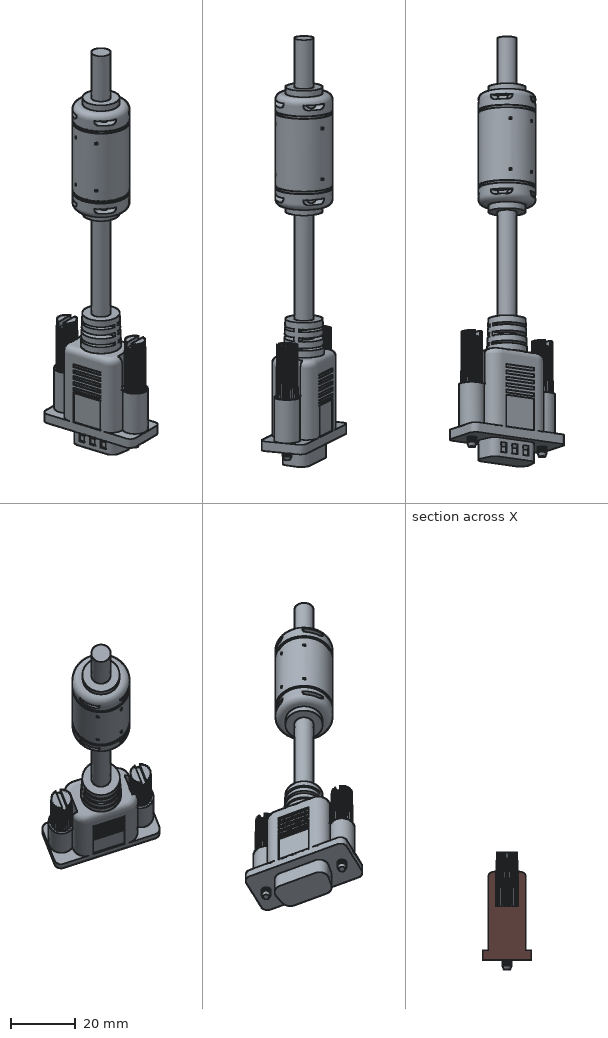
import cadquery as cq
import math

CABLE_DIA = 6.0
CABLE_TOP = 134.0

CHOKE_DIA = 17.8
CHOKE_LENGTH = 35.5
CHOKE_MID_Z = 98.8
CHOKE_EDGE_RADIUS = 2.1
COLLAR_DIA = 11.5
COLLAR_LENGTH = 2.0
CHOKE_GROOVE_DIA = 16.8
CHOKE_GROOVE_WIDTH = 0.8
CHOKE_GROOVE_OFFSET = 11.9
WINDOW_HEIGHT = 1.6
WINDOW_OFFSET = 15.0
WINDOW_SIDE = 3.4
WINDOW_FILLET = 1.5
WINDOW_CORE_DIA = 13.0
DOT_DIA = 0.7
DOT_DEPTH = 0.4
DOT_X = 3.9
DOT_OFFSET = 8.0

FLANGE_LENGTH = 34.5
HOOD_DEPTH = 15.0
FLANGE_BOTTOM = 6.0
FLANGE_TOP = 9.1
FLANGE_CORNER = 2.1
HOOD_WIDTH = 21.0
HOOD_TOP = 34.0
HOOD_CORNER = 3.9
HOOD_TOP_FILLET = 2.0
SCREW_X = 13.0
BOSS_DIA = 8.0
BOSS_TOP = 22.8

GRIP_WIDTH = 10.3
GRIP_DEPTH = 0.4
GRIP_PANEL_TOP = 19.2
GRIP_SLOT_COUNT = 5
GRIP_SLOT_HEIGHT = 1.0
GRIP_SLOT_PITCH = 2.0
GRIP_FIRST_SLOT_Z = 20.4

RELIEF_TOP = 45.0
RELIEF_TOP_DIA = 11.7
RELIEF_BOTTOM_DIA = 12.6
RELIEF_WEB = 1.7
RELIEF_SLOTS = [(36.2, 37.0), (39.0, 40.2), (42.1, 42.9)]

SHELL_HEIGHT = FLANGE_BOTTOM
SHELL_WIDTH = 18.0
SHELL_DEPTH = 9.1
SHELL_CORNER = 3.0
SHELL_SIDE_ANGLE = 10.0
DIMPLE_WIDTH = 2.0
DIMPLE_PITCH = 4.09
DIMPLE_BOTTOM = 1.6
DIMPLE_BEND = 3.5
DIMPLE_TOP = 4.7
DIMPLE_DEPTH = 0.7

SHAFT_DIA = 3.0
SHAFT_TIP_DIA = 2.0
SHAFT_BOTTOM = 3.1
SHAFT_TAPER = 1.2
THREAD_PITCH = 0.5
THREAD_DEPTH = 0.2
KNOB_TOP = 39.4
KNOB_TOP_DIA = 6.4
KNOB_BOTTOM_DIA = 6.8
KNURL_ROOT_DIA = 6.0
KNURL_COUNT = 24
DRIVER_SLOT_WIDTH = 1.6
DRIVER_SLOT_DEPTH = 1.9


def cylinder(diameter, bottom, top):
    return cq.Workplane("XY").workplane(offset=bottom).circle(diameter / 2).extrude(top - bottom)


def block(width, depth, bottom, top):
    return cq.Workplane("XY").workplane(offset=bottom).rect(width, depth).extrude(top - bottom)


def make_cable():
    return cylinder(CABLE_DIA, HOOD_TOP, CABLE_TOP)


def window_cutter(middle_z):
    """Four openings between the axes, closed inwards by a round core."""
    bottom = middle_z - WINDOW_HEIGHT / 2
    top = middle_z + WINDOW_HEIGHT / 2
    reach = CHOKE_DIA / 2
    corner_size = reach - WINDOW_SIDE
    corner_middle = WINDOW_SIDE + corner_size / 2
    corner = (
        block(corner_size, corner_size, bottom, top)
        .faces("<Z")
        .edges("<X or <Y")
        .fillet(WINDOW_FILLET)
        .translate((corner_middle, corner_middle, 0))
    )
    corners = corner
    for turn in range(1, 4):
        corners = corners.union(corner.rotate((0, 0, 0), (0, 0, 1), 90 * turn))
    return corners.cut(cylinder(WINDOW_CORE_DIA, bottom, top))


def groove_cutter(middle_z):
    bottom = middle_z - CHOKE_GROOVE_WIDTH / 2
    top = middle_z + CHOKE_GROOVE_WIDTH / 2
    return cylinder(CHOKE_DIA, bottom, top).cut(cylinder(CHOKE_GROOVE_DIA, bottom, top))


def dot_cutter(middle_z, side):
    """Two shallow round holes in the -Y (side -1) or +Y (side 1) face of the choke."""
    surface_y = math.sqrt((CHOKE_DIA / 2) ** 2 - DOT_X**2)
    centers = [(-DOT_X, middle_z), (DOT_X, middle_z)]
    floor = cq.Workplane("XZ", origin=(0, side * (surface_y - DOT_DEPTH), 0))
    return floor.pushPoints(centers).circle(DOT_DIA / 2).extrude(-side * CHOKE_DIA / 2)


def make_choke():
    bottom = CHOKE_MID_Z - CHOKE_LENGTH / 2
    top = CHOKE_MID_Z + CHOKE_LENGTH / 2
    choke = cylinder(CHOKE_DIA, bottom, top).edges().fillet(CHOKE_EDGE_RADIUS)
    choke = choke.union(cylinder(COLLAR_DIA, bottom - COLLAR_LENGTH, top + COLLAR_LENGTH))
    for end in (-1, 1):
        choke = choke.cut(groove_cutter(CHOKE_MID_Z + end * CHOKE_GROOVE_OFFSET))
        choke = choke.cut(window_cutter(CHOKE_MID_Z + end * WINDOW_OFFSET))
        for side in (-1, 1):
            choke = choke.cut(dot_cutter(CHOKE_MID_Z + end * DOT_OFFSET, side))
    return choke.cut(cylinder(CABLE_DIA, bottom - COLLAR_LENGTH, top + COLLAR_LENGTH))


def make_strain_relief():
    relief = (
        cq.Workplane("XY")
        .workplane(offset=HOOD_TOP)
        .circle(RELIEF_BOTTOM_DIA / 2)
        .workplane(offset=RELIEF_TOP - HOOD_TOP)
        .circle(RELIEF_TOP_DIA / 2)
        .loft()
    )
    for bottom, top in RELIEF_SLOTS:
        web = block(RELIEF_BOTTOM_DIA, RELIEF_WEB, bottom, top)
        relief = relief.cut(cylinder(RELIEF_BOTTOM_DIA, bottom, top).cut(web))
    return relief.cut(cylinder(CABLE_DIA, HOOD_TOP, RELIEF_TOP))


def grip_cutter():
    """A panel with a row of slots above it, cut into both broad faces."""
    recess = block(GRIP_WIDTH, HOOD_DEPTH, FLANGE_TOP, GRIP_PANEL_TOP)
    for index in range(GRIP_SLOT_COUNT):
        bottom = GRIP_FIRST_SLOT_Z + index * GRIP_SLOT_PITCH - GRIP_SLOT_HEIGHT / 2
        recess = recess.union(block(GRIP_WIDTH, HOOD_DEPTH, bottom, bottom + GRIP_SLOT_HEIGHT))
    return recess.cut(block(HOOD_WIDTH, HOOD_DEPTH - 2 * GRIP_DEPTH, FLANGE_TOP, HOOD_TOP))


def make_hood():
    hood = (
        block(HOOD_WIDTH, HOOD_DEPTH, FLANGE_BOTTOM, HOOD_TOP)
        .edges("|Z")
        .fillet(HOOD_CORNER)
        .faces(">Z")
        .edges()
        .fillet(HOOD_TOP_FILLET)
    )
    flange = block(FLANGE_LENGTH, HOOD_DEPTH, FLANGE_BOTTOM, FLANGE_TOP)
    hood = hood.union(flange.edges("|Z").fillet(FLANGE_CORNER))
    hood = hood.cut(grip_cutter())
    knob_pocket = block(BOSS_DIA, KNOB_BOTTOM_DIA, BOSS_TOP, HOOD_TOP)
    for side in (-1, 1):
        place = (side * SCREW_X, 0, 0)
        hood = hood.union(cylinder(BOSS_DIA, FLANGE_BOTTOM, BOSS_TOP).translate(place))
        hood = hood.cut(knob_pocket.translate(place))
        hood = hood.cut(cylinder(SHAFT_DIA, FLANGE_BOTTOM, BOSS_TOP).translate(place))
    return hood.union(make_strain_relief())


def shell_outline():
    """Trapezoid whose rounded corners bring it to the full shell width and depth."""
    slope = math.radians(SHELL_SIDE_ANGLE)
    half_depth = SHELL_DEPTH / 2
    wide_center_x = SHELL_WIDTH / 2 - SHELL_CORNER
    wide_center_y = half_depth - SHELL_CORNER
    side_offset = SHELL_CORNER / math.cos(slope)
    wide_x = wide_center_x + side_offset + (half_depth - wide_center_y) * math.tan(slope)
    narrow_x = wide_x - SHELL_DEPTH * math.tan(slope)
    return [
        (-narrow_x, -half_depth),
        (narrow_x, -half_depth),
        (wide_x, half_depth),
        (-wide_x, half_depth),
    ]


def make_shell():
    shell = cq.Workplane("XY").polyline(shell_outline()).close().extrude(SHELL_HEIGHT)
    shell = shell.edges("not(#Z)").fillet(SHELL_CORNER)
    front_y = -SHELL_DEPTH / 2
    floor_y = front_y + DIMPLE_DEPTH
    dimple = (
        cq.Workplane("YZ", origin=(-DIMPLE_WIDTH / 2, 0, 0))
        .polyline([
            (front_y, DIMPLE_BOTTOM),
            (floor_y, DIMPLE_BOTTOM),
            (floor_y, DIMPLE_BEND),
            (front_y, DIMPLE_TOP),
        ])
        .close()
        .extrude(DIMPLE_WIDTH)
    )
    for index in (-1, 0, 1):
        shell = shell.cut(dimple.translate((index * DIMPLE_PITCH, 0, 0)))
    return shell


def make_shaft():
    """Screw shaft on the Z axis, with ring-shaped thread grooves on the part below the flange."""
    radius = SHAFT_DIA / 2
    taper_top = SHAFT_BOTTOM + SHAFT_TAPER
    thread_count = math.floor((FLANGE_BOTTOM - taper_top) / THREAD_PITCH)
    outline = cq.Workplane("XZ").moveTo(0, SHAFT_BOTTOM).lineTo(SHAFT_TIP_DIA / 2, SHAFT_BOTTOM)
    outline = outline.lineTo(radius, taper_top)
    for index in range(thread_count):
        ridge_z = taper_top + index * THREAD_PITCH
        outline = outline.lineTo(radius - THREAD_DEPTH, ridge_z + THREAD_PITCH / 2)
        outline = outline.lineTo(radius, ridge_z + THREAD_PITCH)
    outline = outline.lineTo(radius, BOSS_TOP).lineTo(0, BOSS_TOP).close()
    return outline.revolve(360, (0, 0, 0), (0, 1, 0))


def make_knob():
    """Slightly tapered knob with V-shaped knurls along its whole height."""
    height = KNOB_TOP - BOSS_TOP
    knob = (
        cq.Workplane("XY")
        .workplane(offset=BOSS_TOP)
        .circle(KNOB_BOTTOM_DIA / 2)
        .workplane(offset=height)
        .circle(KNOB_TOP_DIA / 2)
        .loft()
    )
    root = KNURL_ROOT_DIA / 2
    rim = KNOB_BOTTOM_DIA / 2
    half_pitch = math.pi / KNURL_COUNT
    star = []
    for index in range(KNURL_COUNT):
        angle = 2 * index * half_pitch
        star.append((rim * math.cos(angle), rim * math.sin(angle)))
        star.append((root * math.cos(angle + half_pitch), root * math.sin(angle + half_pitch)))
    knurls = cq.Workplane("XY").workplane(offset=BOSS_TOP).polyline(star).close().extrude(height)
    driver_slot = block(DRIVER_SLOT_WIDTH, KNOB_BOTTOM_DIA, KNOB_TOP - DRIVER_SLOT_DEPTH, KNOB_TOP)
    return knob.intersect(knurls).cut(driver_slot)


def make_thumbscrew(x):
    return make_shaft().union(make_knob()).translate((x, 0, 0))


cable = make_cable()
choke = make_choke()
hood = make_hood()
shell = make_shell()
thumbscrews = [make_thumbscrew(side * SCREW_X) for side in (-1, 1)]

result = cq.Compound.makeCompound([
    cable.val(),
    choke.val(),
    hood.val(),
    shell.val(),
    *[screw.val() for screw in thumbscrews],
])